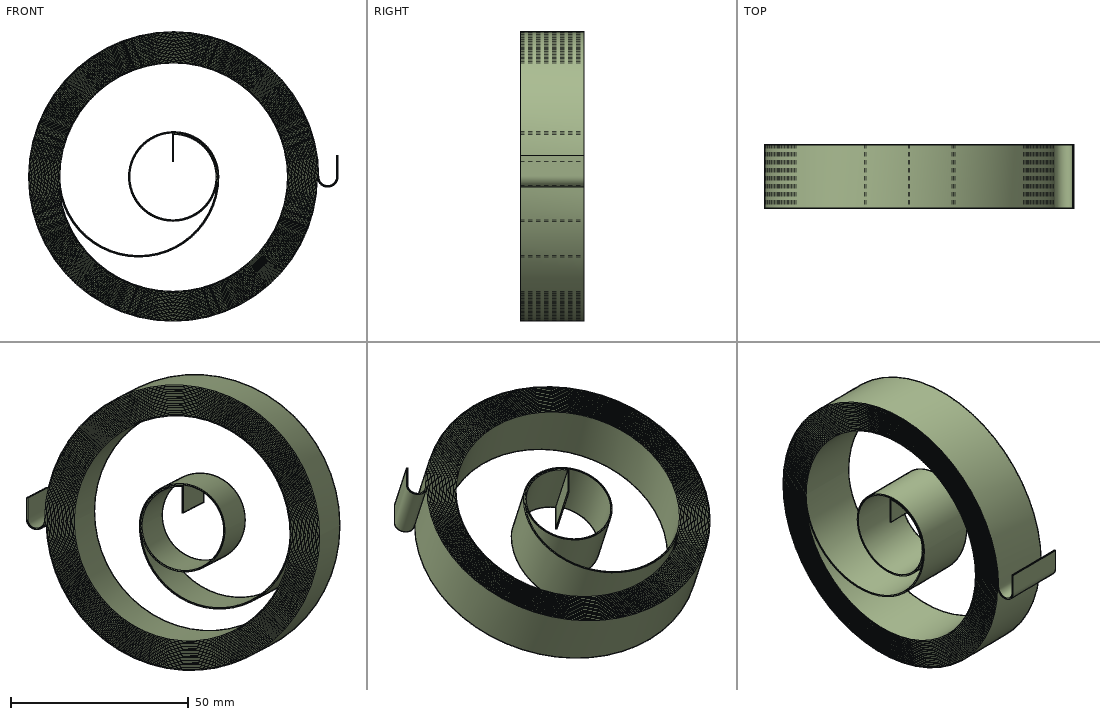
import cadquery as cq


WIDTH = 18.0
OVERALL_LENGTH = 87.4
COIL_RADIUS = 41.0
PITCH = 0.4
CLEARANCE = 0.01
UPPER_TURNS = 22
RING_RADIUS = 12.8
TAB_END_Z = 4.4
STEM_TOP_Z = 6.0

THICKNESS = PITCH - CLEARANCE
HALF = THICKNESS / 2

ring_outer = RING_RADIUS - HALF
ring_inner = ring_outer - PITCH
coil_last = COIL_RADIUS - HALF
coil_first = coil_last - (UPPER_TURNS - 1) * PITCH
stem_x = OVERALL_LENGTH - COIL_RADIUS - HALF


def centreline_crossings():
    """X of each crossing, from the ring outwards; the strip runs down, up, down, ... through them."""
    crossings = [ring_inner, -ring_outer, ring_outer]
    for turn in range(UPPER_TURNS):
        radius = coil_first + turn * PITCH
        crossings += [-radius, radius]
    crossings.append(stem_x)
    return crossings


def face_crossings(side):
    """Crossings of one strip face: side +1 is left of the winding direction, -1 is right of it."""
    faces = []
    for index, x in enumerate(centreline_crossings()):
        heading_down = index % 2 == 0
        faces.append(x + side * HALF if heading_down else x - side * HALF)
    return faces


def half_circle(sketch, start_x, end_x, below):
    """Add a half circle between two points of the X axis."""
    radius = abs(end_x - start_x) / 2
    middle = ((start_x + end_x) / 2, -radius if below else radius)
    return sketch.threePointArc(middle, (end_x, 0))


def quarter_circle(sketch, radius, end):
    """Add the arc about the origin, in the upper right quadrant, that finishes at `end`."""
    diagonal = radius / 2 ** 0.5
    return sketch.threePointArc((diagonal, diagonal), end)


def strip_profile():
    left = face_crossings(1)
    right = face_crossings(-1)
    last = len(left) - 1

    sketch = cq.Workplane("XZ").moveTo(-THICKNESS, left[0]).lineTo(0, left[0])
    sketch = quarter_circle(sketch, left[0], (left[0], 0))
    for i in range(last):
        sketch = half_circle(sketch, left[i], left[i + 1], below=i % 2 == 0)

    sketch = sketch.lineTo(left[last], STEM_TOP_Z).lineTo(right[last], STEM_TOP_Z).lineTo(right[last], 0)

    for i in range(last, 0, -1):
        sketch = half_circle(sketch, right[i], right[i - 1], below=i % 2 == 1)
    sketch = quarter_circle(sketch, right[0], (0, right[0]))
    return sketch.lineTo(0, TAB_END_Z).lineTo(-THICKNESS, TAB_END_Z).close()


result = strip_profile().extrude(WIDTH / 2, both=True)